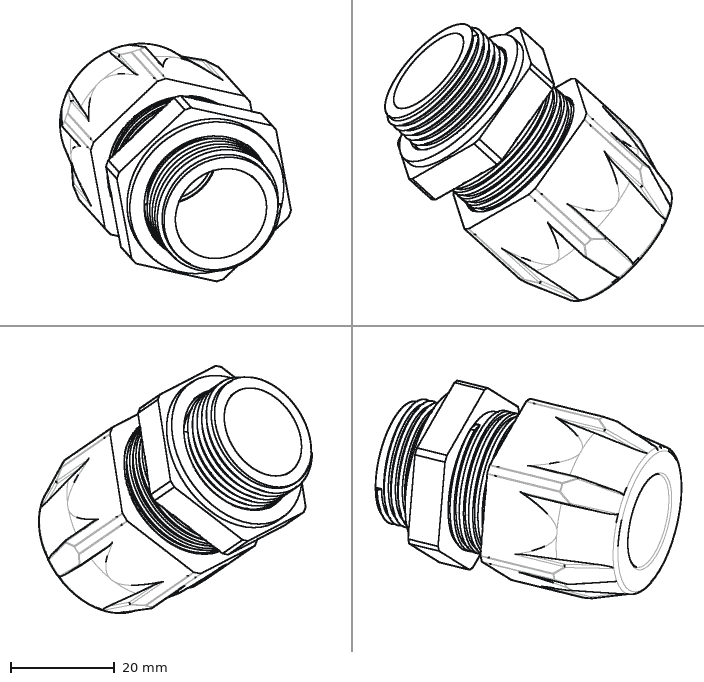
import cadquery as cq
import math

cap_length = 27.6
hex_start = 36.65
hex_end = 43.1
gasket_thickness = 1.65
total_length = 53.09

across_flats = 33.0
hex_turn = 10.0
body_corner_distance = 18.655
cap_corner_distance = 18.55
corner_blend = 0.3
claw_blend = 0.42

nose_radius = 14.65
nose_round = 0.85
cone_start = 0.7
claw_end = 12.0
gap_cone_radius = 16.51
gap_half_width = 6.2
gap_far_radius = 18.8
claw_side_angle = 11.0
claw_root = 10.0
claw_reach = 20.0

cap_bore = 18.4
cap_bore_round = 0.4
cap_wall = 8.2
cap_cavity = 28.65
seal_diameter = 22.5
plug_diameter = 18.32
plug_rim = 8.9
plug_flat = 8.4
dome_bulge = 0.25
plug_flat_diameter = 8.0
plug_length = 14.0
seal_length = 16.0
body_start = 11.0
body_bore = 18.6

sleeve_diameter = 26.7
sleeve_crest = 28.0
sleeve_pitch = 2.0
sleeve_turns = 9
sleeve_root_width = 1.0
sleeve_crest_width = 0.9
sleeve_thread_end = 35.95
sleeve_end_angle = 82.0

end_diameter = 23.28
end_crest = 24.9
end_pitch = 1.5
end_turns = 5.5
end_root_width = 1.0
end_crest_width = 0.0
end_thread_end = 52.3
end_end_angle = 0.0

gasket_diameter = 31.4
gasket_hole = 25.58

thread_overlap = 0.1
flats = 6
flat_step = 360 / flats
apothem = across_flats / 2
first_corner = 90 + hex_turn


def cylinder(start, end, diameter):
    return cq.Workplane("YZ", origin=(start, 0, 0)).circle(diameter / 2).extrude(end - start)


def hex_prism(start, end, corner_distance):
    """Hexagonal prism along X whose corners are trimmed flat."""
    def prism(flat_distance, turn):
        corner_diameter = 2 * flat_distance / math.cos(math.radians(flat_step / 2))
        outline = cq.Workplane("YZ", origin=(start, 0, 0)).polygon(flats, corner_diameter)
        return outline.extrude(end - start).rotate((0, 0, 0), (1, 0, 0), turn)

    return prism(apothem, first_corner).intersect(
        prism(corner_distance, first_corner + flat_step / 2)
    )


def thread_ridge(core, crest, pitch, turns, root_width, crest_width, end, end_angle):
    """Right-handed ridge whose last section is centred on X = end at the given angle from +Y."""
    start = end - pitch * turns
    start_angle = end_angle - 360 * turns
    sunk_radius = core / 2 - thread_overlap
    flank_run = (root_width - crest_width) / (crest - core)
    sunk_half_width = root_width / 2 + thread_overlap * flank_run
    section = [(-sunk_half_width, sunk_radius), (-crest_width / 2, crest / 2)]
    if crest_width > 0:
        section.append((crest_width / 2, crest / 2))
    section.append((sunk_half_width, sunk_radius))
    edges = []
    for x, radius in section:
        helix = cq.Wire.makeHelix(pitch, pitch * turns, radius)
        helix = helix.moved(cq.Location(cq.Plane.named("YZ")))
        edges.append(helix.translate(cq.Vector(x, 0, 0)).Edges()[0])
    faces = [
        cq.Face.makeRuledSurface(edge, following)
        for edge, following in zip(edges, edges[1:] + edges[:1])
    ]
    for place in (0, 1):
        corners = [edge.positionAt(place) for edge in edges]
        faces.append(cq.Face.makeFromWires(cq.Wire.makePolygon(corners, close=True)))
    ridge = cq.Solid.makeSolid(cq.Shell.makeShell(faces))
    return cq.Workplane(ridge).rotate((0, 0, 0), (1, 0, 0), start_angle).translate((start, 0, 0))


def nose_envelope(far_points):
    """Solid of revolution with a rounded nose, running on through (x, radius) points."""
    last_x = far_points[-1][0]
    face_radius = nose_radius - nose_round
    bend = nose_round * math.sin(math.radians(45))
    profile = (
        cq.Workplane("XY")
        .moveTo(0, 0)
        .lineTo(0, face_radius)
        .threePointArc(
            (cone_start - bend * cone_start / nose_round, face_radius + bend),
            (cone_start, nose_radius),
        )
    )
    for x, radius in far_points:
        profile = profile.lineTo(x, radius)
    return profile.lineTo(last_x, 0).close().revolve(360, (0, 0, 0), (1, 0, 0))


def claws():
    """Six claws reaching past the core to the hex, with rounded edges, one on each hex corner."""
    claw_slope = (cap_corner_distance - nose_radius) / (claw_end - cone_start)
    far_radius = nose_radius + claw_slope * (cap_length - cone_start)
    cone = (
        cq.Workplane("XY")
        .polyline([(cone_start, 0), (cone_start, nose_radius), (cap_length, far_radius), (cap_length, 0)])
        .close()
        .revolve(360, (0, 0, 0), (1, 0, 0))
    )
    edge_radius = math.hypot(apothem, gap_half_width)
    edge_angle = math.radians(flat_step / 2) - math.atan(gap_half_width / apothem)
    edge_reach = edge_radius * math.cos(edge_angle)
    edge_half = edge_radius * math.sin(edge_angle)
    flare = math.tan(math.radians(claw_side_angle))
    inner_half = edge_half - (edge_reach - claw_root) * flare
    outer_half = edge_half + (claw_reach - edge_reach) * flare
    sector = (
        cq.Workplane("YZ", origin=(cone_start, 0, 0))
        .polyline([
            (claw_root, -inner_half),
            (claw_reach, -outer_half),
            (claw_reach, outer_half),
            (claw_root, inner_half),
        ])
        .close()
        .extrude(cap_length - cone_start)
        .rotate((0, 0, 0), (1, 0, 0), first_corner)
    )
    claw = hex_prism(0, cap_length, cap_corner_distance).intersect(cone).intersect(sector)
    claw = claw.edges("(not #X) and (not %CIRCLE)").fillet(claw_blend)
    return [claw.rotate((0, 0, 0), (1, 0, 0), i * flat_step) for i in range(flats)]


def make_cap():
    cap = hex_prism(0, cap_length, cap_corner_distance).edges("|X").fillet(corner_blend)
    cap = cap.intersect(nose_envelope([(claw_end, gap_cone_radius), (cap_length, gap_far_radius)]))
    for claw in claws():
        cap = cap.union(claw)
    cap = cap.cut(cylinder(0, cap_length, cap_bore))
    cap = cap.faces("<X").edges(cq.selectors.RadiusNthSelector(0)).fillet(cap_bore_round)
    cap = cap.cut(cylinder(cap_wall, body_start, seal_diameter))
    return cap.cut(cylinder(body_start, cap_length, cap_cavity))


def sleeve_thread():
    """Cap nut thread, whose end is trimmed flush with the top of the sleeve."""
    ridge = thread_ridge(
        sleeve_diameter, sleeve_crest, sleeve_pitch, sleeve_turns,
        sleeve_root_width, sleeve_crest_width, sleeve_thread_end, sleeve_end_angle,
    )
    trim = (
        cq.Workplane("XY", origin=(sleeve_thread_end, 0, sleeve_diameter / 2))
        .rect(sleeve_pitch, sleeve_diameter)
        .extrude(sleeve_crest - sleeve_diameter)
    )
    return ridge.cut(trim)


def make_body():
    body = cylinder(body_start, hex_start, sleeve_diameter)
    body = body.union(hex_prism(hex_start, hex_end, body_corner_distance))
    body = body.union(cylinder(hex_end, total_length, end_diameter))
    body = body.union(sleeve_thread())
    body = body.union(thread_ridge(
        end_diameter, end_crest, end_pitch, end_turns,
        end_root_width, end_crest_width, end_thread_end, end_end_angle,
    ))
    body = body.cut(cylinder(body_start, total_length, body_bore))
    return body.cut(cylinder(body_start, cap_wall + seal_length, seal_diameter))


def make_gasket():
    gasket = cylinder(hex_end, hex_end + gasket_thickness, gasket_diameter)
    return gasket.cut(cylinder(hex_end, hex_end + gasket_thickness, gasket_hole))


def make_seal():
    seal = cylinder(cap_wall, cap_wall + seal_length, seal_diameter)
    return seal.cut(cylinder(cap_wall, cap_wall + seal_length, plug_diameter))


def make_plug():
    """Blind plug with a domed front that ends in a small flat."""
    rim_radius = plug_diameter / 2
    flat_radius = plug_flat_diameter / 2
    middle = ((plug_flat + plug_rim) / 2 - dome_bulge, (rim_radius + flat_radius) / 2)
    return (
        cq.Workplane("XY")
        .moveTo(plug_flat, 0)
        .lineTo(plug_flat, flat_radius)
        .threePointArc(middle, (plug_rim, rim_radius))
        .lineTo(plug_rim + plug_length, rim_radius)
        .lineTo(plug_rim + plug_length, 0)
        .close()
        .revolve(360, (0, 0, 0), (1, 0, 0))
    )


cap = make_cap()
body = make_body()
gasket = make_gasket()
seal = make_seal()
plug = make_plug()

result = cq.Compound.makeCompound([cap.val(), body.val(), gasket.val(), seal.val(), plug.val()])